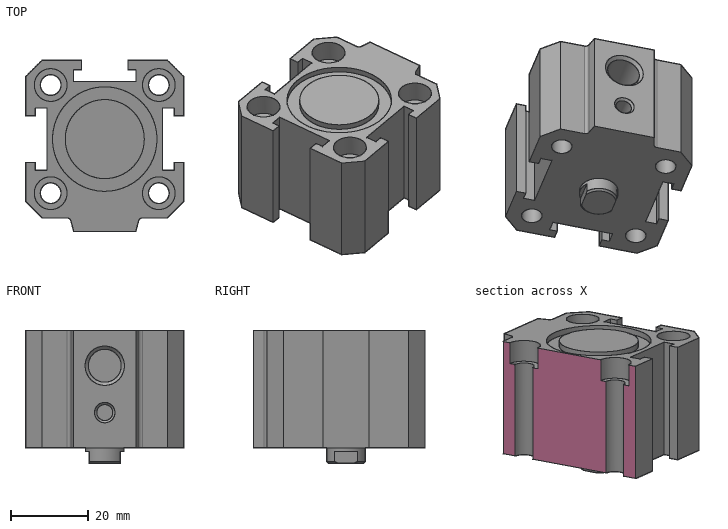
import cadquery as cq
import math


body_side = 41.0
half_side = body_side / 2
body_height = 30.5
corner_chamfer = 4.25

overall_depth = 44.5
boss_height = overall_depth - body_side
boss_face_width = 16.1
boss_flank_angle = 15.0
boss_root_radius = 1.0
boss_face_y = -half_side - boss_height

slot_mouth_width = 12.0
slot_inner_width = 16.1
slot_lip = 2.55
slot_depth = 5.5

mount_offset = 14.0
mount_diameter = 5.3
counterbore_diameter = 8.5
counterbore_depth = 5.6

groove_outer_diameter = 27.1
groove_inner_diameter = 20.5
groove_depth = 1.5

large_port = (21.3, 8.55, 10.2)
small_port = (9.15, 4.15, 5.3)
port_depth = 10.0

rod_diameter = 10.0
rod_projection = 4.0
rod_seat_depth = rod_diameter
rod_across_flats = 8.1
rod_collar = 1.0
rod_end_chamfer = 0.5


def make_block():
    """Square block with chamfered vertical corners."""
    block = cq.Workplane("XY").rect(body_side, body_side).extrude(body_height)
    return block.edges("|Z").chamfer(corner_chamfer)


def add_boss(block):
    """Join the tapered port boss and round its two roots."""
    face_half = boss_face_width / 2
    root_half = face_half + boss_height * math.tan(math.radians(boss_flank_angle))
    boss = (
        cq.Workplane("XY")
        .moveTo(-face_half, boss_face_y)
        .lineTo(face_half, boss_face_y)
        .lineTo(root_half, -half_side)
        .lineTo(root_half, 0)
        .lineTo(-root_half, 0)
        .lineTo(-root_half, -half_side)
        .close()
        .extrude(body_height)
    )
    joined = block.union(boss)
    for side in (-1, 1):
        root_point = (side * root_half, -half_side, body_height / 2)
        joined = joined.edges(cq.NearestToPointSelector(root_point)).fillet(boss_root_radius)
    return joined


def make_slot():
    """T-slot cutter for the +Y face, running the full height."""
    mouth = cq.Workplane("XY").box(
        slot_mouth_width, slot_depth, body_height, centered=(True, False, False)
    )
    chamber = cq.Workplane("XY").box(
        slot_inner_width, slot_depth - slot_lip, body_height, centered=(True, False, False)
    )
    return mouth.union(chamber).translate((0, half_side - slot_depth, 0))


def make_port(height, bore_diameter, mouth_diameter):
    """Flat-bottomed port cutter with a 45 degree countersink, entering along +Y."""
    bore_radius = bore_diameter / 2
    mouth_radius = mouth_diameter / 2
    countersink_depth = mouth_radius - bore_radius
    profile = (
        cq.Workplane("XY")
        .moveTo(0, boss_face_y)
        .lineTo(mouth_radius, boss_face_y)
        .lineTo(bore_radius, boss_face_y + countersink_depth)
        .lineTo(bore_radius, boss_face_y + port_depth)
        .lineTo(0, boss_face_y + port_depth)
        .close()
    )
    return profile.revolve(360, (0, 0, 0), (0, 1, 0)).translate((0, 0, height))


def make_housing():
    housing = add_boss(make_block())

    for angle in (-90, 0, 90):
        housing = housing.cut(make_slot().rotate((0, 0, 0), (0, 0, 1), angle))

    housing = (
        housing.faces(">Z")
        .workplane(origin=(0, 0, body_height))
        .rect(2 * mount_offset, 2 * mount_offset, forConstruction=True)
        .vertices()
        .cboreHole(mount_diameter, counterbore_diameter, counterbore_depth)
    )

    groove = (
        cq.Workplane("XY", origin=(0, 0, body_height - groove_depth))
        .circle(groove_outer_diameter / 2)
        .circle(groove_inner_diameter / 2)
        .extrude(groove_depth)
    )
    housing = housing.cut(groove)

    for port in (large_port, small_port):
        housing = housing.cut(make_port(*port))

    rod_seat = cq.Workplane("XY").circle(rod_diameter / 2).extrude(rod_seat_depth)
    return housing.cut(rod_seat)


def make_rod():
    """Round rod with a chamfered end and two flats facing -X and +X."""
    rod = (
        cq.Workplane("XY", origin=(0, 0, -rod_projection))
        .circle(rod_diameter / 2)
        .extrude(rod_projection + rod_seat_depth)
        .faces("<Z")
        .chamfer(rod_end_chamfer)
    )
    flat_height = rod_projection - rod_collar
    flat_zone = cq.Workplane("XY", origin=(0, 0, -rod_projection))
    outside_flats = (
        flat_zone.rect(2 * rod_diameter, 2 * rod_diameter)
        .extrude(flat_height)
        .cut(flat_zone.rect(rod_across_flats, 2 * rod_diameter).extrude(flat_height))
    )
    return rod.cut(outside_flats)


housing = make_housing()
rod = make_rod()

result = cq.Compound.makeCompound([housing.val(), rod.val()])